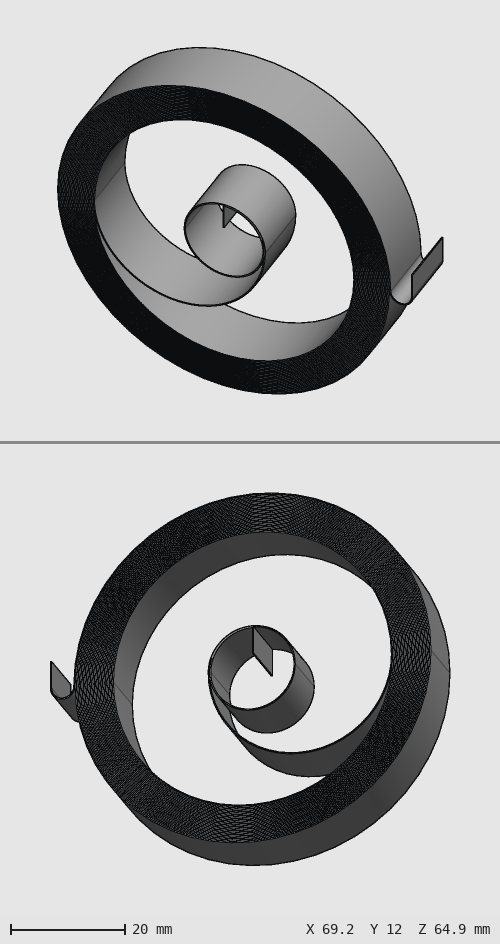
import cadquery as cq

overall_length = 69.25
overall_height = 64.9
strip_width = 12.0
strip_thickness = 0.24
half_thickness = strip_thickness / 2
turn_gap = 0.01
turn_pitch = strip_thickness + turn_gap

turn_count = 29
coil_radius = (overall_height - strip_thickness + turn_pitch / 2) / 2
first_turn_radius = coil_radius - (turn_count - 1) * turn_pitch

hub_radius = 7.7
hub_end_x = hub_radius + turn_pitch
tab_end_z = 2.8

hook_leg_x = overall_length - strip_thickness - coil_radius
hook_tip_z = 5.0


def box(x_min, x_max, z_min, z_max):
    """Block over the strip width, given by its X and Z limits."""
    return (
        cq.Workplane("XY")
        .box(x_max - x_min, strip_width, z_max - z_min)
        .translate(((x_min + x_max) / 2, 0, (z_min + z_max) / 2))
    )


def front_plane():
    """XZ sketch plane on the strip's +Y edge; extruding goes towards -Y."""
    return cq.Workplane("XZ", origin=(0, strip_width / 2, 0))


def half_circle(sketch, x_start, x_end, side):
    """Half-circle between two points on Z = 0, above (side 1) or below (side -1) them."""
    rise = abs(x_end - x_start) / 2
    return sketch.threePointArc(((x_start + x_end) / 2, side * rise), (x_end, 0))


def bend_ends():
    """X where each bend of the hub and coil meets the next, starting on the right."""
    ends = [hub_radius, -hub_radius, hub_end_x]
    for turn in range(turn_count):
        radius = first_turn_radius + turn * turn_pitch
        ends += [-radius, radius]
    return ends


def winding():
    """Strip from the hub's lower half through the coil to the tip of the hook."""
    outer = []
    inner = []
    for x in bend_ends():
        outward = half_thickness if x > 0 else -half_thickness
        outer.append(x + outward)
        inner.append(x - outward)
    outer.append(hook_leg_x - half_thickness)
    inner.append(hook_leg_x + half_thickness)

    sides = [-1 if index % 2 == 0 else 1 for index in range(len(outer) - 1)]

    sketch = front_plane().moveTo(outer[0], 0)
    for x_start, x_end, side in zip(outer, outer[1:], sides):
        sketch = half_circle(sketch, x_start, x_end, side)
    sketch = sketch.lineTo(outer[-1], hook_tip_z).lineTo(inner[-1], hook_tip_z).lineTo(inner[-1], 0)
    inner.reverse()
    sides.reverse()
    for x_start, x_end, side in zip(inner, inner[1:], sides):
        sketch = half_circle(sketch, x_start, x_end, side)
    return sketch.close().extrude(strip_width)


def hub_start():
    """Tab and the quarter loop that leads from its top to the winding."""
    loop_outer = hub_radius + half_thickness
    loop_inner = hub_radius - half_thickness
    loop = front_plane().circle(loop_outer).circle(loop_inner).extrude(strip_width)
    quarter = loop.intersect(box(-strip_thickness, loop_outer, 0, loop_outer))
    tab = box(-strip_thickness, 0, tab_end_z, hub_radius)
    return tab.union(quarter)


result = winding().union(hub_start())